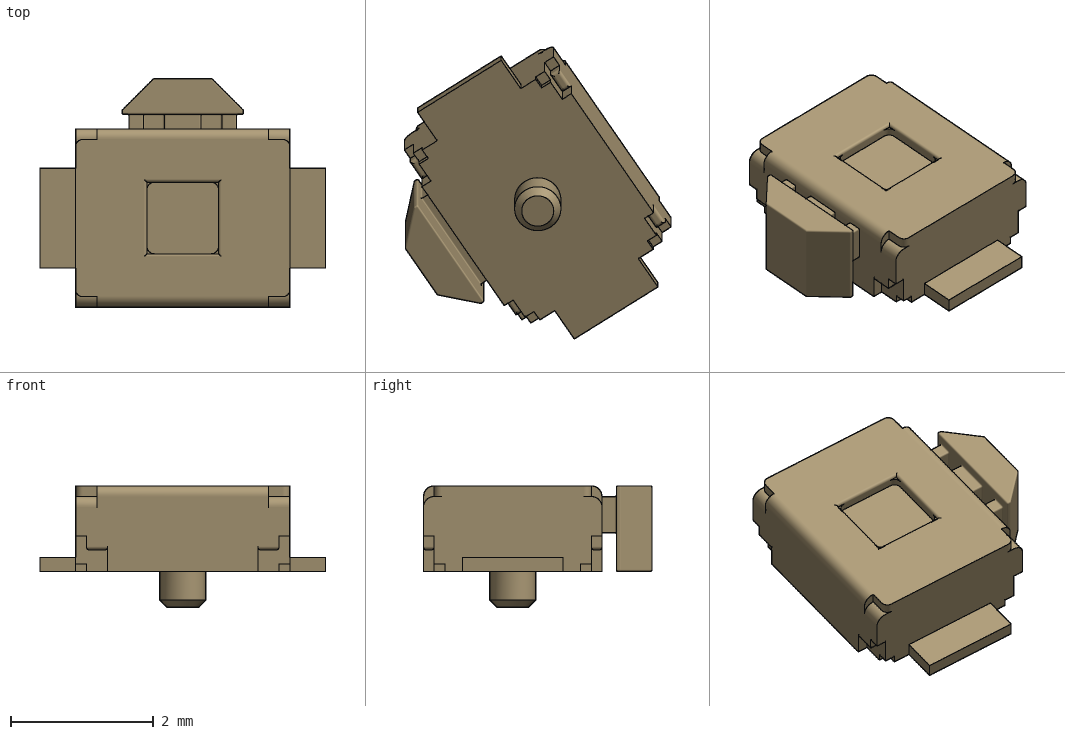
import cadquery as cq

body_length = 3
body_width = 2.5
body_height = 1.2
cover_width = 2.2
cover_corner_radius = 0.1
cover_thickness = (body_width - cover_width) / 2
housing_top = body_height - cover_thickness

tab_length = 2.4
tab_panel_length = 2.1
tab_panel_height = 0.6
lug_bottom = 0.3
lug_edge_radius = 0.05

corner_step_height = 0.5
corner_notch_height = 0.11

window_size = 1
window_corner_radius = 0.1
window_edge_radius = 0.04

terminal_span = 4
terminal_width = 1.4
terminal_thickness = 0.2
peg_diameter = 0.65
peg_length = 0.5
peg_chamfer = 0.1

overall_width = 3.2
button_tip_y = overall_width - body_width / 2
button_depth = 0.5
button_base_length = 1.7
button_slope = 0.44
button_edge_radius = 0.025
button_back_y = button_tip_y - button_depth
stem_height = 0.51
stem_bottom = housing_top - stem_height
web_thickness = 0.2
stem_edge_radius = 0.025
stem_root_radius = 0.02
center_stem_length = 0.51
outer_stem_length = 0.205
outer_stem_x = 0.65

side_signs = (-1, 1)
corner_signs = [(x_sign, y_sign) for x_sign in side_signs for y_sign in side_signs]
half_length = body_length / 2
half_width = body_width / 2


def block(size_x, size_y, z_bottom, z_top, x=0, y=0):
    """Upright block centred on (x, y)."""
    base = cq.Workplane("XY", origin=(x, y, z_bottom))
    return base.rect(size_x, size_y).extrude(z_top - z_bottom)


def arched_block(length, z_bottom, z_top):
    """Full-width block whose two long top edges are rounded like the bent cover."""
    return block(length, body_width, z_bottom, z_top).edges("|X and >Z").fillet(cover_thickness)


def make_housing():
    """Plastic housing with stepped and notched lower corners."""
    housing = arched_block(body_length, 0, housing_top)
    step_length = (body_length - tab_panel_length) / 2
    for x_sign, y_sign in corner_signs:
        step_x = x_sign * (half_length - step_length / 2)
        step_y = y_sign * (half_width - cover_thickness / 2)
        housing = housing.cut(block(step_length, cover_thickness, 0, corner_step_height, step_x, step_y))
        notch_x = x_sign * (half_length - cover_thickness / 2)
        notch_y = y_sign * (half_width - cover_thickness * 1.5)
        housing = housing.cut(
            block(cover_thickness, cover_thickness, 0, corner_notch_height, notch_x, notch_y)
        )
    return housing


def make_cover():
    """Top plate with rounded corners, and the tabs bent down over both long sides."""
    plate = block(body_length, cover_width, housing_top, body_height)
    plate = plate.edges("|Z").fillet(cover_corner_radius)
    return plate.union(arched_block(tab_length, tab_panel_height, body_height))


def make_lugs():
    """Round-bottomed lugs hanging from the tabs beside the lower panels."""
    lug_outer_x = half_length - cover_thickness
    lug_length = lug_outer_x - tab_panel_length / 2
    lugs = cq.Workplane("XY")
    for x_sign, y_sign in corner_signs:
        lug_x = x_sign * (lug_outer_x - lug_length / 2)
        lug_y = y_sign * (half_width - cover_thickness / 2)
        lug = block(lug_length, cover_thickness, lug_bottom, corner_step_height, lug_x, lug_y)
        lugs = lugs.union(lug.faces("<Z").edges().fillet(lug_edge_radius))
    return lugs


def window_flare(plane_name):
    """Slot across the window whose top edges flare outward in convex quarter rounds."""
    half_window = window_size / 2
    half_mouth = half_window + window_edge_radius
    flare_bottom = body_height - window_edge_radius
    bulge = window_edge_radius * (1 - 0.5**0.5)
    return (
        cq.Workplane(plane_name)
        .moveTo(-half_window, flare_bottom)
        .lineTo(half_window, flare_bottom)
        .threePointArc((half_window + bulge, body_height - bulge), (half_mouth, body_height))
        .lineTo(-half_mouth, body_height)
        .threePointArc((-half_window - bulge, body_height - bulge), (-half_window, flare_bottom))
        .close()
        .extrude(half_mouth, both=True)
    )


def make_window():
    """Window through the cover, with rounded walls and a mitred, flared mouth."""
    shaft = block(window_size, window_size, housing_top, body_height)
    shaft = shaft.edges("|Z").fillet(window_corner_radius)
    return shaft.union(window_flare("XZ").intersect(window_flare("YZ")))


def make_peg():
    """Locating peg under the housing, tapered at its end."""
    peg = cq.Workplane("XY").circle(peg_diameter / 2).extrude(-peg_length)
    return peg.faces("<Z").chamfer(peg_chamfer)


def make_stems():
    """Three upright stems on a common web, running from the housing to the button."""
    start_y = half_width - cover_thickness
    depth = button_back_y - start_y
    middle_y = (button_back_y + start_y) / 2
    web_length = 2 * outer_stem_x + outer_stem_length
    stems = block(web_length, depth, stem_bottom, stem_bottom + web_thickness, 0, middle_y)
    layout = (
        (-outer_stem_x, outer_stem_length),
        (0, center_stem_length),
        (outer_stem_x, outer_stem_length),
    )
    for stem_x, stem_length in layout:
        stems = stems.union(block(stem_length, depth, stem_bottom, housing_top, stem_x, middle_y))
    return stems.edges("|Y and (not <Z)").fillet(stem_edge_radius)


def make_button():
    """Side button: a wedge with softened edges, flared onto its stems."""
    half_base = button_base_length / 2
    half_tip = half_base - button_slope
    slope_start_y = button_tip_y - button_slope
    head = (
        cq.Workplane("XY")
        .moveTo(-half_base, button_back_y)
        .lineTo(half_base, button_back_y)
        .lineTo(half_base, slope_start_y)
        .lineTo(half_tip, button_tip_y)
        .lineTo(-half_tip, button_tip_y)
        .lineTo(-half_base, slope_start_y)
        .close()
        .extrude(body_height)
        .edges()
        .fillet(button_edge_radius)
    )
    head = head.union(make_stems())
    reach = half_base - 2 * button_edge_radius
    roots = cq.selectors.BoxSelector(
        (-reach, button_back_y - stem_root_radius / 2, stem_bottom - stem_root_radius),
        (reach, button_back_y + stem_root_radius / 2, housing_top + stem_root_radius),
    )
    return head.edges(roots).fillet(stem_root_radius)


terminals = block(terminal_span, terminal_width, 0, terminal_thickness)

result = (
    make_housing()
    .union(make_cover())
    .union(make_lugs())
    .cut(make_window())
    .union(terminals)
    .union(make_peg())
    .union(make_button())
)